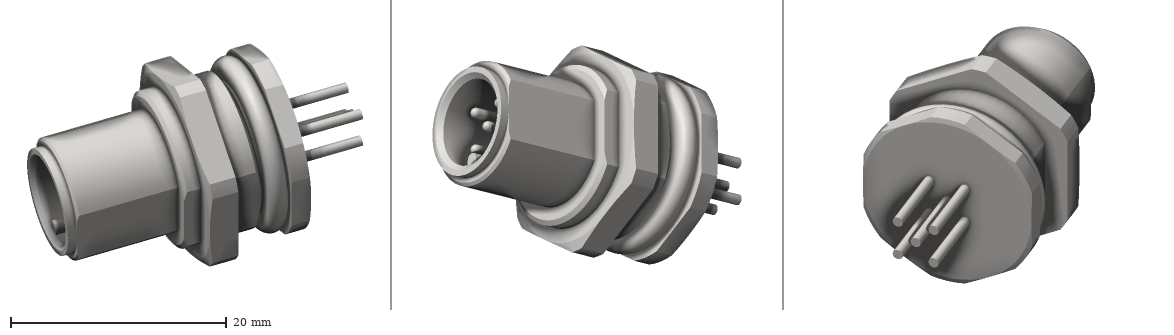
import cadquery as cq
import math


nose_front = 0.0
key_front = 0.6
plug_front = 0.92
thread_front = 11.02
nut_front = 12.7
nut_back = 15.55
thread_back = 18.85
flange_front = 21.05
flange_back = 23.0
solder_pin_end = 30.6

nose_diameter = 10.4
plug_diameter = 11.93
plug_flat_width = 10.4
plug_chamfer_length = 0.2
plug_chamfer_depth = 0.3

bore_diameter = 8.3
mouth_diameter = 9.3
mouth_chamfer_length = 0.45
bore_floor = 8.5

thread_diameter = 15.3
thread_flat_width = 13.43
thread_front_chamfer_length = 0.3
thread_front_chamfer_depth = 0.45
neck_diameter = 13.0
thread_back_chamfer_angle = 30.0
thread_back_chamfer_depth = (thread_diameter - neck_diameter) / 2
thread_back_chamfer_length = thread_back_chamfer_depth * math.tan(math.radians(thread_back_chamfer_angle))

ring_outer_diameter = 17.15
ring_thickness = 1.95

nut_across_flats = 18.0
nut_corner_diameter = 19.98
flange_across_flats = 17.0
flange_corner_diameter = 18.0
hex_chamfer_angle = 15.0
hex_half_sector = 30.0

pin_diameter = 1.0
pin_offset = 1.8
contact_tip = 2.0
pin_sides = (-pin_offset, pin_offset)
pin_centers = [(0, 0)] + [(x, z) for x in pin_sides for z in pin_sides]

key_width = 1.3
key_top = -3.0
key_embedment = 0.3


def section(y):
    """Workplane across the axis at station y, with local x = X and local y = Z."""
    return cq.Workplane("XZ", origin=(0, y, 0))


def rod(diameter, start, end, x=0, z=0):
    """Cylinder along Y between two stations."""
    return section(start).center(x, z).circle(diameter / 2).extrude(start - end)


def turned(points):
    """Solid of revolution about Y from (radius, station) points."""
    return cq.Workplane("XY").polyline(points).close().revolve(360, (0, 0), (0, 1))


def two_flats(width, start, end):
    """Slab that trims a turned body to a pair of flats facing -X and +X."""
    return section(start).rect(width, thread_diameter).extrude(start - end)


def turned_hexagon(across_flats, corner_diameter, plain_face, chamfered_face):
    """Hexagon with flats facing X, rounded corners and a shallow cone at one face."""
    corner_radius = corner_diameter / 2
    flat_radius = across_flats / 2
    chamfer_length = (corner_radius - flat_radius) * math.tan(math.radians(hex_chamfer_angle))
    toward_plain = math.copysign(1, plain_face - chamfered_face)
    shoulder = chamfered_face + toward_plain * chamfer_length
    blank = turned([
        (0, plain_face),
        (corner_radius, plain_face),
        (corner_radius, shoulder),
        (flat_radius, chamfered_face),
        (0, chamfered_face),
    ])
    across_corners = across_flats / math.cos(math.radians(hex_half_sector))
    hexagon = (
        section(plain_face)
        .transformed(rotate=(0, 0, hex_half_sector))
        .polygon(6, across_corners)
        .extrude(plain_face - chamfered_face)
    )
    return blank.intersect(hexagon)


def plug():
    radius = plug_diameter / 2
    body = turned([
        (0, plug_front),
        (radius - plug_chamfer_depth, plug_front),
        (radius, plug_front + plug_chamfer_length),
        (radius, thread_front),
        (0, thread_front),
    ])
    body = body.intersect(two_flats(plug_flat_width, plug_front, thread_front))
    return body.union(rod(nose_diameter, nose_front, plug_front))


def threaded_barrel():
    radius = thread_diameter / 2
    body = turned([
        (0, thread_front),
        (radius - thread_front_chamfer_depth, thread_front),
        (radius, thread_front + thread_front_chamfer_length),
        (radius, thread_back - thread_back_chamfer_length),
        (radius - thread_back_chamfer_depth, thread_back),
        (0, thread_back),
    ])
    body = body.intersect(two_flats(thread_flat_width, thread_front, thread_back))
    return body.union(rod(neck_diameter, thread_back, flange_front))


def sealing_ring():
    """Ring on the neck with flat sides and a half-round outer edge."""
    edge_radius = ring_thickness / 2
    outer_radius = ring_outer_diameter / 2
    flat_radius = outer_radius - edge_radius
    neck_radius = neck_diameter / 2
    ring_front = flange_front - ring_thickness
    return (
        cq.Workplane("XY")
        .moveTo(neck_radius, ring_front)
        .lineTo(flat_radius, ring_front)
        .threePointArc((outer_radius, ring_front + edge_radius), (flat_radius, flange_front))
        .lineTo(neck_radius, flange_front)
        .close()
        .revolve(360, (0, 0), (0, 1))
    )


def socket_bore():
    return turned([
        (0, nose_front),
        (mouth_diameter / 2, nose_front),
        (bore_diameter / 2, nose_front + mouth_chamfer_length),
        (bore_diameter / 2, bore_floor),
        (0, bore_floor),
    ])


def coding_key():
    """Round-topped rib rooted in the bore wall, running forward from the bore floor."""
    half_width = key_width / 2
    shoulder = key_top - half_width
    foot = -(bore_diameter / 2 + key_embedment)
    return (
        section(key_front)
        .moveTo(-half_width, foot)
        .lineTo(-half_width, shoulder)
        .threePointArc((0, key_top), (half_width, shoulder))
        .lineTo(half_width, foot)
        .close()
        .extrude(key_front - bore_floor)
    )


def contact(x, z):
    """Dome-tipped pin standing on the bore floor."""
    radius = pin_diameter / 2
    dome_center = contact_tip + radius
    dome = cq.Workplane("XY").sphere(radius).translate((x, dome_center, z))
    return rod(pin_diameter, dome_center, bore_floor, x, z).union(dome)


def solder_pin(x, z):
    """Plain pin behind the flange, in line with a contact."""
    return rod(pin_diameter, flange_back, solder_pin_end, x, z)


result = plug().union(threaded_barrel()).union(sealing_ring())
result = result.union(turned_hexagon(nut_across_flats, nut_corner_diameter, nut_back, nut_front))
result = result.union(turned_hexagon(flange_across_flats, flange_corner_diameter, flange_front, flange_back))
result = result.cut(socket_bore()).union(coding_key())
for pin_x, pin_z in pin_centers:
    result = result.union(contact(pin_x, pin_z))
    result = result.union(solder_pin(pin_x, pin_z))